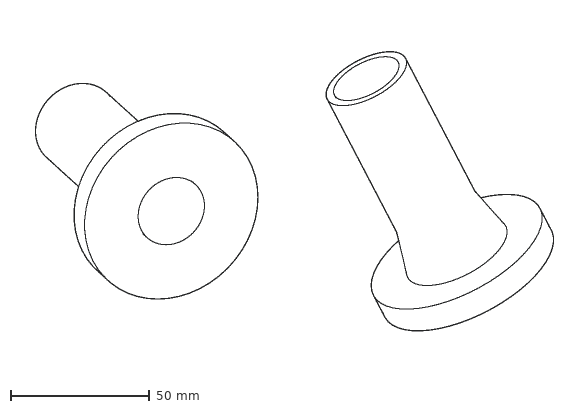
import cadquery as cq

total_length = 89.0
flange_diameter = 68.0
flange_thickness = 10.0
tube_diameter = 32.0
bore_diameter = 26.0
neck_diameter = 40.05
neck_length = 18.0

tube_end = -total_length / 2
flange_back = total_length / 2
flange_front = flange_back - flange_thickness
neck_start = flange_front - neck_length

body = (
    cq.Workplane("XY")
    .moveTo(tube_end, 0)
    .lineTo(tube_end, tube_diameter / 2)
    .lineTo(neck_start, tube_diameter / 2)
    .lineTo(flange_front, neck_diameter / 2)
    .lineTo(flange_front, flange_diameter / 2)
    .lineTo(flange_back, flange_diameter / 2)
    .lineTo(flange_back, 0)
    .close()
    .revolve(360, (0, 0, 0), (1, 0, 0))
)

bore = (
    cq.Workplane("YZ", origin=(tube_end, 0, 0))
    .circle(bore_diameter / 2)
    .extrude(total_length)
)

result = body.cut(bore)